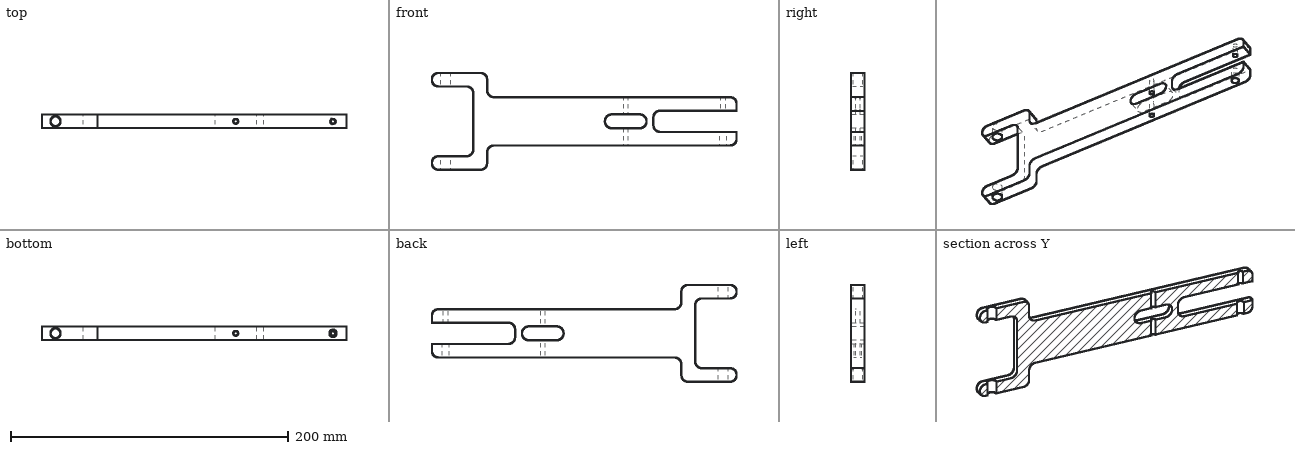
import cadquery as cq

length = 220.0
thickness = 10.0
yoke_height = 70.0
yoke_length = 40.0
prong_length = 30.0
arm_height = 35.0
corner_radius = 4.8

prong_width = thickness
yoke_gap = yoke_height - 2 * prong_width

window_start = 125.0
window_length = 30.0
window_height = 10.0
fork_start = 160.0
fork_gap = 15.2

yoke_hole_x = 10.0
yoke_hole_diameter = 7.0
window_hole_x = window_start + window_length / 2
fork_hole_x = 210.0
small_hole_diameter = 3.3
fork_clearance_diameter = 5.3


def block(x_start, x_end, height):
    """Plate-thick block centred on Y and Z."""
    size_x = x_end - x_start
    return cq.Workplane("XY").box(size_x, thickness, height).translate((x_start + size_x / 2, 0, 0))


def vertical_hole(x, diameter, z_bottom, z_top):
    """Cutter for a hole along Z between two heights."""
    return cq.Workplane("XY", origin=(x, 0, z_bottom)).circle(diameter / 2).extrude(z_top - z_bottom)


plate = block(0, yoke_length, yoke_height).union(block(0, length, arm_height))
plate = plate.cut(block(0, prong_length, yoke_gap))
plate = plate.edges("|Y").fillet(corner_radius)

fork_slot = block(fork_start, length, fork_gap).edges("|Y and <X").fillet(corner_radius)
plate = plate.cut(fork_slot)

window = (
    cq.Workplane("XZ", origin=(window_hole_x, 0, 0))
    .slot2D(window_length, window_height)
    .extrude(thickness / 2, both=True)
)
plate = plate.cut(window)

half_yoke = yoke_height / 2
half_arm = arm_height / 2
plate = plate.cut(vertical_hole(yoke_hole_x, yoke_hole_diameter, -half_yoke, half_yoke))
plate = plate.cut(vertical_hole(window_hole_x, small_hole_diameter, -half_arm, half_arm))
plate = plate.cut(vertical_hole(fork_hole_x, small_hole_diameter, 0, half_arm))
plate = plate.cut(vertical_hole(fork_hole_x, fork_clearance_diameter, -half_arm, 0))

result = plate